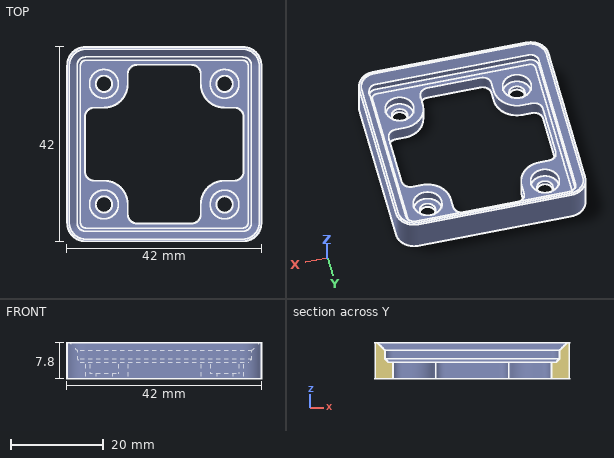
import cadquery as cq

side = 42.0
height = 7.8
corner_radius = 4.05

rim_width = 0.5
upper_slope = 1.7
upright_wall = 1.8
lower_slope = 0.7
floor_height = height - upper_slope - upright_wall - lower_slope

opening_side = 34.2
opening_fillet = 1.95
hole_offset = 13.0
tab_radius = 5.15

hole_diameter = 3.5
counterbore_diameter = 6.2
counterbore_depth = 2.4

hole_centers = [(sx * hole_offset, sy * hole_offset) for sx in (-1, 1) for sy in (-1, 1)]


def rounded_block(inset, bottom, thickness, taper=0):
    """Rounded square inset from the outer walls, with corners concentric to the outer ones."""
    width = side - 2 * inset
    outline = cq.Sketch().rect(width, width).vertices().fillet(corner_radius - inset)
    return cq.Workplane().workplane(offset=bottom).placeSketch(outline).extrude(thickness, taper=taper)


def recess():
    """Space above the floor, narrowing downward in two slopes."""
    wall_inset = rim_width + upper_slope
    wall_top = height - upper_slope
    upper = rounded_block(wall_inset, wall_top, upper_slope, taper=-45)
    wall = rounded_block(wall_inset, wall_top - upright_wall, upright_wall)
    lower = rounded_block(wall_inset + lower_slope, floor_height, lower_slope, taper=-45)
    return upper.union(wall).union(lower)


def opening():
    """Cross-shaped opening whose inward corners wrap around the holes."""
    arm_width = 2 * (hole_offset - tab_radius)
    cross = cq.Workplane().rect(opening_side, arm_width).extrude(floor_height)
    cross = cross.union(cq.Workplane().rect(arm_width, opening_side).extrude(floor_height))
    reach = (arm_width + opening_side) / 2
    middle = cq.selectors.BoxSelector(
        (-reach / 2, -reach / 2, 0),
        (reach / 2, reach / 2, floor_height),
    )
    cross = cross.edges("|Z").edges(middle).fillet(tab_radius)
    arm_ends = "|Z and (>X or <X or >Y or <Y)"
    return cross.edges(arm_ends).fillet(opening_fillet)


plate = rounded_block(0, 0, height).cut(recess()).cut(opening())

result = (
    plate.copyWorkplane(cq.Workplane(origin=(0, 0, floor_height)))
    .pushPoints(hole_centers)
    .cboreHole(hole_diameter, counterbore_diameter, counterbore_depth)
)